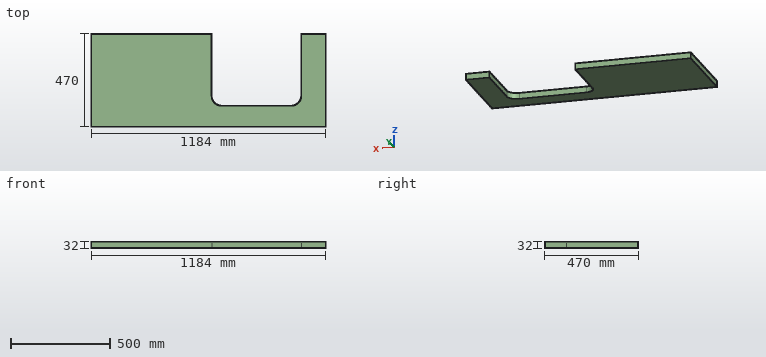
import cadquery as cq

length = 1184.0
width = 470.0
thickness = 32.0

cutout_left = 609.0
cutout_right = 1060.0
cutout_front = 108.0
cutout_corner_radius = 50.0


def make_board():
    return cq.Workplane("XY").box(length, width, thickness, centered=False)


def make_cutout():
    cutout_length = cutout_right - cutout_left
    cutout_depth = width - cutout_front
    cutter = cq.Workplane("XY").box(cutout_length, cutout_depth, thickness, centered=False)
    cutter = cutter.edges("|Z and <Y").fillet(cutout_corner_radius)
    return cutter.translate((cutout_left, cutout_front, 0))


result = make_board().cut(make_cutout())